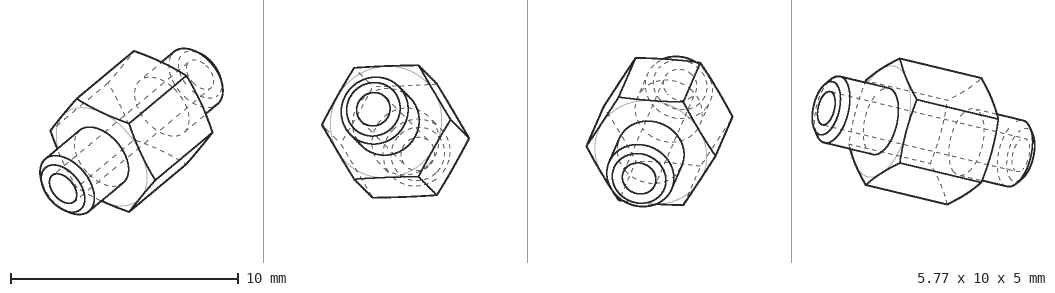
import cadquery as cq
import math

total_length = 10.0
hex_length = 4.4
across_flats = 5.0
stem_diameter = 3.0
stem_chamfer = 0.3
bore_diameter = 1.5
corner_chamfer_angle = 15.0

across_corners = across_flats / math.cos(math.radians(30))
flat_radius = across_flats / 2
corner_radius = across_corners / 2
corner_drop = (corner_radius - flat_radius) * math.tan(math.radians(corner_chamfer_angle))


def centred_on_y(length):
    """XZ workplane placed so that extruding by length is centred on the origin."""
    return cq.Workplane("XZ", origin=(0, length / 2, 0))


def make_hex_body():
    """Hexagon with corners on X, its end corners turned down to a shallow cone."""
    prism = centred_on_y(hex_length).polygon(6, across_corners).extrude(hex_length)
    half_length = hex_length / 2
    shoulder = half_length - corner_drop
    turned_envelope = (
        cq.Workplane("XY")
        .moveTo(0, -half_length)
        .lineTo(flat_radius, -half_length)
        .lineTo(corner_radius, -shoulder)
        .lineTo(corner_radius, shoulder)
        .lineTo(flat_radius, half_length)
        .lineTo(0, half_length)
        .close()
        .revolve(360, (0, 0, 0), (0, 1, 0))
    )
    return prism.intersect(turned_envelope)


def make_stem():
    """Round stem passing through the hexagon, chamfered at both ends."""
    stem = centred_on_y(total_length).circle(stem_diameter / 2).extrude(total_length)
    return stem.faces("<Y or >Y").chamfer(stem_chamfer)


bore = centred_on_y(total_length).circle(bore_diameter / 2).extrude(total_length)

result = make_hex_body().union(make_stem()).cut(bore)